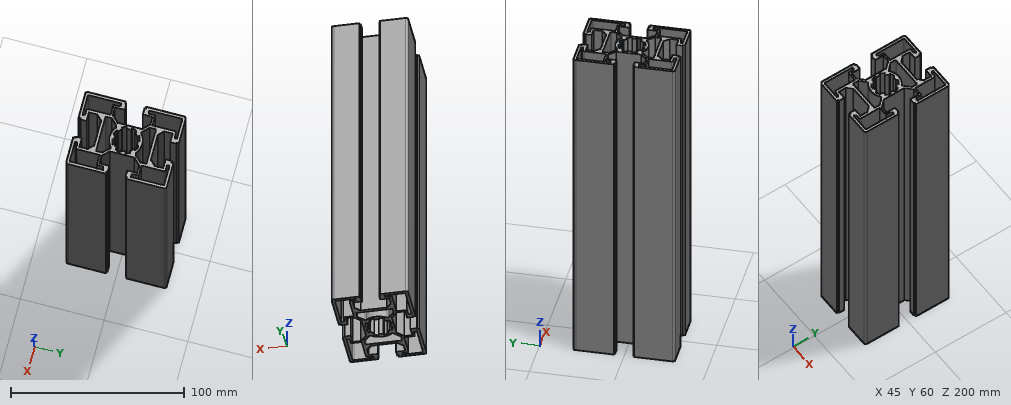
import cadquery as cq
import math

width = 45.0
depth = 60.0
length = 200.0
corner_radius = 1.5

half_width = width / 2
half_depth = depth / 2

skin = 1.8
web = 1.75
floor_wall = 1.85
shelf = 1.25

mouth_half = 5.35
lip_depth = 5.0
rebate_width = 0.7
rebate_depth = 1.3

lip_width = 3.05
undercut_radius = 0.9
web_radius = 0.9
chamber_radius = 0.6

end_slot_half = 10.75
end_slot_depth = 13.08
end_slot_chamfer = 3.1

side_slot_half = 11.25
side_slot_shoulder = 12.8
side_slot_floor = 8.9
side_slot_floor_half = 7.3

chamber_knee = 11.35

hub_radius = 9.7
hub_blend_radius = 0.8

bore_radius = 6.85
tooth_count = 8
groove_radius = 8.0
groove_half_angle = 11


def prism(points):
    """Full-length prism over a closed outline."""
    return cq.Workplane("XY").polyline(points).close().extrude(length)


def with_x_mirror(points):
    """Close an outline that is symmetric about the Y axis."""
    return points + [(-x, y) for x, y in reversed(points)]


def with_y_mirror(points):
    """Close an outline that is symmetric about the X axis."""
    return points + [(x, -y) for x, y in reversed(points)]


def polar(radius, angle):
    """Point at a radius and an angle in degrees."""
    return radius * math.cos(math.radians(angle)), radius * math.sin(math.radians(angle))


def turned(solid, angle):
    """Copy of a solid turned about the extrusion axis."""
    return solid.rotate((0, 0, 0), (0, 0, 1), angle)


def round_edge(solid, x, y, radius):
    """Fillet the lengthwise edge at (x, y)."""
    return solid.edges(cq.selectors.NearestToPointSelector((x, y, length / 2))).fillet(radius)


def end_slot():
    """T-slot opening on the +Y face, with chamfered bottom corners."""
    lip = half_depth - lip_depth
    floor = half_depth - end_slot_depth
    return prism(with_x_mirror([
        (mouth_half + rebate_width, half_depth),
        (mouth_half + rebate_width, half_depth - rebate_depth),
        (mouth_half, half_depth - rebate_depth),
        (mouth_half, lip),
        (end_slot_half, lip),
        (end_slot_half, floor + end_slot_chamfer),
        (end_slot_half - end_slot_chamfer, floor),
    ]))


def side_slot():
    """T-slot opening on the +X face, tapering towards the hub."""
    lip = half_width - lip_depth
    return prism(with_y_mirror([
        (half_width, mouth_half + rebate_width),
        (half_width - rebate_depth, mouth_half + rebate_width),
        (half_width - rebate_depth, mouth_half),
        (lip, mouth_half),
        (lip, side_slot_half),
        (side_slot_shoulder, side_slot_half),
        (side_slot_floor, side_slot_floor_half),
    ]))


def corner_chamber():
    """Hollow in the +X +Y corner, with an undercut behind each slot lip."""
    outer_x = half_width - skin
    outer_y = half_depth - skin
    lip_end = mouth_half + lip_width
    web_x = end_slot_half + web
    shelf_y = side_slot_half + shelf
    end_hook_y = half_depth - lip_depth + web
    side_hook_x = half_width - lip_depth + shelf
    chamber = prism([
        (outer_x, outer_y),
        (lip_end, outer_y),
        (lip_end, end_hook_y),
        (web_x, end_hook_y),
        (web_x, shelf_y),
        (side_hook_x, shelf_y),
        (side_hook_x, lip_end),
        (outer_x, lip_end),
    ])
    for x, y in ((lip_end, end_hook_y), (side_hook_x, lip_end)):
        chamber = round_edge(chamber, x, y, undercut_radius)
    chamber = round_edge(chamber, web_x, end_hook_y, web_radius)
    return round_edge(chamber, outer_x, outer_y, chamber_radius)


def hub_chamber():
    """Closed hollow between the +Y slot floor and the hub."""
    top = half_depth - end_slot_depth - floor_wall
    wall_offset = chamber_knee - end_slot_half
    inner_x = hub_radius / 2
    junction_x = (math.sqrt(2 * hub_radius**2 - wall_offset**2) - wall_offset) / 2
    hollow = prism(with_x_mirror([
        (end_slot_half, top),
        (end_slot_half, chamber_knee),
        (inner_x, inner_x + wall_offset),
    ]))
    hub = cq.Workplane("XY").circle(hub_radius).extrude(length)
    hollow = hollow.cut(hub)
    for side in (-1, 1):
        hollow = round_edge(hollow, side * end_slot_half, top, chamber_radius)
        hollow = round_edge(hollow, side * junction_x, junction_x + wall_offset, hub_blend_radius)
    return hollow


def bore_groove():
    """Wedge between two bore teeth, with a round outer wall."""
    return (
        cq.Workplane("XY")
        .lineTo(*polar(groove_radius, -groove_half_angle))
        .threePointArc((groove_radius, 0), polar(groove_radius, groove_half_angle))
        .close()
        .extrude(length)
    )


def bore():
    """Central bore with its ring of grooves."""
    hole = cq.Workplane("XY").circle(bore_radius).extrude(length)
    pitch = 360 / tooth_count
    for index in range(tooth_count):
        hole = hole.union(turned(bore_groove(), (index + 0.5) * pitch))
    return hole


def body():
    """Solid bar with rounded corners, opened by the four slots."""
    bar = cq.Workplane("XY").rect(width, depth).extrude(length).edges("|Z").fillet(corner_radius)
    for angle in (0, 180):
        bar = bar.cut(turned(end_slot(), angle)).cut(turned(side_slot(), angle))
    return bar


result = body()
for angle in (0, 180):
    result = result.cut(turned(hub_chamber(), angle))
    result = result.cut(turned(corner_chamber(), angle))
    result = result.cut(turned(corner_chamber().mirror("YZ"), angle))
result = result.cut(bore())